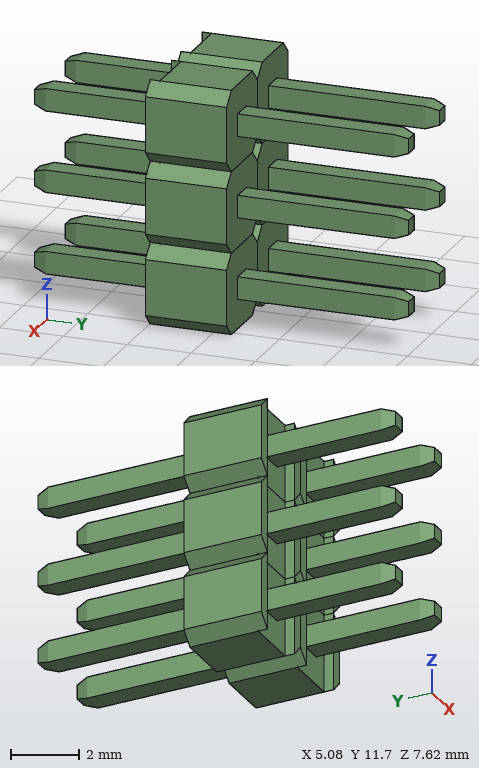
import cadquery as cq

COLUMNS = 2
ROWS = 3
PITCH = 2.54
OVERALL_LENGTH = 11.7
BLOCK_LENGTH = 2.54
CORNER_CHAMFER = 0.4
CHANNEL_DEPTH = 0.3
PIN_WIDTH = 0.7
TIP_WIDTH = 0.46
TIP_LENGTH = 0.4
FRONT_PIN_LENGTH = 3.86

CHANNEL_WIDTH = PITCH - 2 * CORNER_CHAMFER
SHANK_LENGTH = OVERALL_LENGTH - 2 * TIP_LENGTH
PIN_FRONT_Y = -FRONT_PIN_LENGTH
PIN_BACK_Y = PIN_FRONT_Y + OVERALL_LENGTH


def plane_facing_back(y):
    """XZ plane at the given Y, extruding toward +Y."""
    return cq.Workplane(cq.Plane(origin=(0, y, 0), xDir=(-1, 0, 0), normal=(0, 1, 0)))


def plane_facing_front(y):
    """XZ plane at the given Y, extruding toward -Y."""
    return cq.Workplane(cq.Plane(origin=(0, y, 0), xDir=(1, 0, 0), normal=(0, -1, 0)))


def make_block():
    """Chamfered insulator block with an upright channel across its front face."""
    block = plane_facing_back(0).rect(PITCH, PITCH).extrude(BLOCK_LENGTH)
    block = block.edges("|Y").chamfer(CORNER_CHAMFER)
    channel = plane_facing_back(0).rect(CHANNEL_WIDTH, PITCH).extrude(CHANNEL_DEPTH)
    return block.cut(channel)


def make_tip(base_plane):
    """Tapered pin tip growing outward from the end of the shank."""
    return (
        base_plane.rect(PIN_WIDTH, PIN_WIDTH)
        .workplane(offset=TIP_LENGTH)
        .rect(TIP_WIDTH, TIP_WIDTH)
        .loft(ruled=True)
    )


def make_pin():
    """Square pin along Y, tapered at both ends."""
    shank_front_y = PIN_FRONT_Y + TIP_LENGTH
    shank_back_y = PIN_BACK_Y - TIP_LENGTH
    shank = plane_facing_back(shank_front_y).rect(PIN_WIDTH, PIN_WIDTH).extrude(SHANK_LENGTH)
    front_tip = make_tip(plane_facing_front(shank_front_y))
    back_tip = make_tip(plane_facing_back(shank_back_y))
    return shank.union(front_tip).union(back_tip)


def make_header_cell():
    """One header cell: a block and its pin as a single solid, centred on the Y axis."""
    return make_block().union(make_pin())


header_cell = make_header_cell()
header_cells = []
for column in range(COLUMNS):
    for row in range(ROWS):
        cell_x = (column - (COLUMNS - 1) / 2) * PITCH
        cell_z = (row - (ROWS - 1) / 2) * PITCH
        header_cells.append(header_cell.translate((cell_x, 0, cell_z)).val())

result = cq.Compound.makeCompound(header_cells)